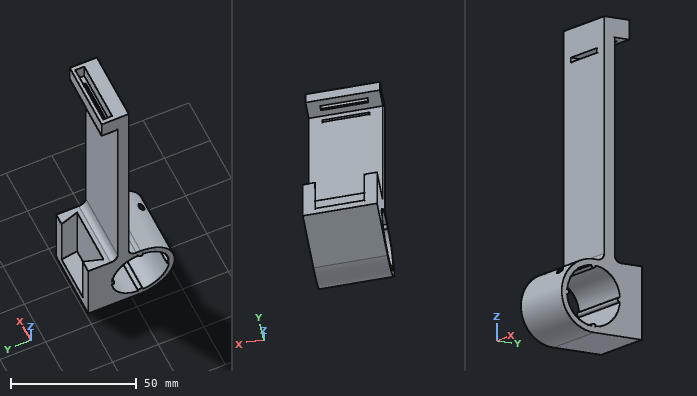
import cadquery as cq
import math

width = 30.0
height = 130.0
depth = 38.0
tube_radius = width / 2
bore_radius = 12.5
bottom = -tube_radius
top = bottom + height
block_back = depth - tube_radius

rib_radius = 1.0
rib_count = 4
pin_diameter = 2.5
pin_rim_diameter = 3.2
pin_x = 6.8
pin_angle = 45.0

arm_front = 5.1
arm_thickness = 5.0
arm_back = arm_front + arm_thickness
root_radius = 3.1

holder_depth = 7.0
holder_height = 8.0
holder_wall = 1.5
holder_end_wall = 2.0
holder_floor = 1.5
strap_width = 19.1
strap_thickness = 2.0
arm_slot_drop = 12.0

dovetail_wall = 5.1
dovetail_undercut = 2.5
dovetail_depth = 7.9


def box(size_x, y_min, y_max, z_min, z_max):
    """Box centred on X = 0 between the given Y and Z limits."""
    middle = (0, (y_min + y_max) / 2, (z_min + z_max) / 2)
    return cq.Workplane("XY").box(size_x, y_max - y_min, z_max - z_min).translate(middle)


def make_body():
    """Tube block and arm as one profile, with concave arcs at the arm root."""
    bend = root_radius * (1 - math.sqrt(0.5))
    root_top = tube_radius + root_radius
    return (
        cq.Workplane("YZ", origin=(-width / 2, 0, 0))
        .moveTo(0, bottom)
        .lineTo(block_back, bottom)
        .lineTo(block_back, tube_radius)
        .lineTo(arm_back + root_radius, tube_radius)
        .threePointArc((arm_back + bend, tube_radius + bend), (arm_back, root_top))
        .lineTo(arm_back, top)
        .lineTo(arm_front, top)
        .lineTo(arm_front, root_top)
        .threePointArc((arm_front - bend, tube_radius + bend), (arm_front - root_radius, tube_radius))
        .lineTo(0, tube_radius)
        .threePointArc((-tube_radius, 0), (0, bottom))
        .close()
        .extrude(width)
    )


def make_bore():
    """Bore cutter, notched so that small round ribs remain on the bore wall."""
    start = cq.Workplane("YZ", origin=(-width / 2, 0, 0))
    ribs = start.polarArray(bore_radius, 0, 360, rib_count).circle(rib_radius).extrude(width)
    return start.circle(bore_radius).extrude(width).cut(ribs)


def make_pin_hole():
    """Radial hole through the upper front wall of the tube, with a 45 degree rim chamfer."""
    angle = math.radians(pin_angle)
    direction = cq.Vector(0, -math.cos(angle), math.sin(angle))
    start = cq.Vector(pin_x, 0, 0)
    hole_radius = pin_diameter / 2
    rim_radius = pin_rim_diameter / 2
    chamfer = rim_radius - hole_radius
    rim_start = start + direction * (tube_radius - chamfer)
    hole = cq.Workplane(cq.Solid.makeCylinder(hole_radius, tube_radius, start, direction))
    rim = cq.Workplane(cq.Solid.makeCone(hole_radius, rim_radius, chamfer, rim_start, direction))
    return hole.union(rim)


def make_holder():
    """Open-topped box behind the arm, with a strap slot through its floor."""
    back = arm_back + holder_depth
    middle = (arm_back + back) / 2
    base = top - holder_height
    pocket = box(
        width - 2 * holder_end_wall, arm_back + holder_wall, back - holder_wall, base + holder_floor, top
    )
    slot = box(strap_width, middle - strap_thickness / 2, middle + strap_thickness / 2, base, top)
    return box(width, arm_back, back, base, top).cut(pocket).cut(slot)


def make_arm_slot():
    """Strap slot through the arm, just below the holder."""
    slot_top = top - arm_slot_drop
    return box(strap_width, arm_front, arm_back, slot_top - strap_thickness, slot_top)


def make_dovetail():
    """Open-topped recess whose sides and floor spread outward away from the back face."""
    inner_y = block_back - dovetail_depth
    mouth_half = width / 2 - dovetail_wall
    inner_half = mouth_half + dovetail_undercut
    mouth_floor = bottom + dovetail_wall
    inner_floor = mouth_floor - dovetail_undercut
    plan = (
        cq.Workplane("XY", origin=(0, 0, bottom))
        .polyline([
            (-inner_half, inner_y),
            (inner_half, inner_y),
            (mouth_half, block_back),
            (-mouth_half, block_back),
        ])
        .close()
        .extrude(2 * tube_radius)
    )
    side = (
        cq.Workplane("YZ", origin=(-width / 2, 0, 0))
        .polyline([
            (inner_y, tube_radius),
            (inner_y, inner_floor),
            (block_back, mouth_floor),
            (block_back, tube_radius),
        ])
        .close()
        .extrude(width)
    )
    return plan.intersect(side)


result = (
    make_body()
    .cut(make_bore())
    .cut(make_pin_hole())
    .cut(make_arm_slot())
    .cut(make_dovetail())
    .union(make_holder())
)